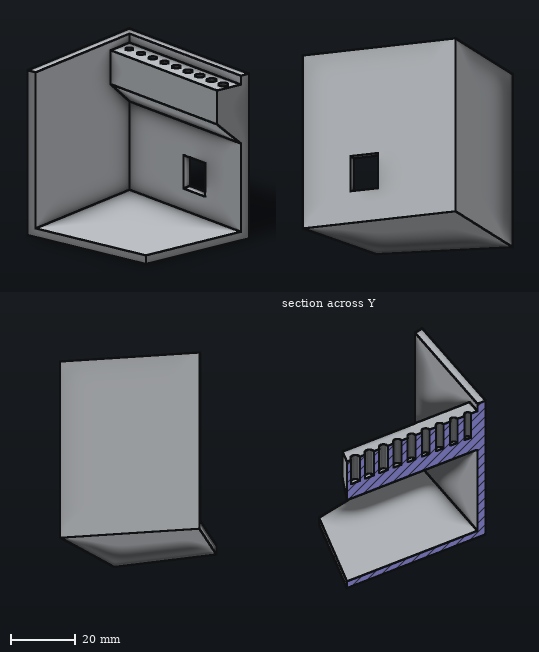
import cadquery as cq

LENGTH = 51.8
DEPTH = 46.0
HEIGHT = 56.0
WALL = 3.0

SKEW_CORNER_X = 42.55
SKEW_CORNER_Y = 9.0

RACK_DEPTH = 8.5
RACK_FACE_HEIGHT = 11.5
RACK_DROP = WALL

HOLE_DIAMETERS = [2.3, 2.4, 2.5, 2.6, 2.7, 2.8, 2.9, 3.0, 3.1]
FIRST_HOLE_X = 6.45
LAST_HOLE_X = 47.05
HOLE_PITCH = (LAST_HOLE_X - FIRST_HOLE_X) / (len(HOLE_DIAMETERS) - 1)
HOLE_FROM_BACK = 6.7
HOLE_DEPTH = 10.0

WINDOW_X = 26.3
WINDOW_Z = 10.35
WINDOW_WIDTH = 9.3
WINDOW_HEIGHT = 11.3

INNER_BACK_Y = DEPTH - WALL
RACK_FRONT_Y = INNER_BACK_Y - RACK_DEPTH
RACK_TOP_Z = HEIGHT - RACK_DROP


def plan_prism():
    """Full-height block with the four-sided plan of the part."""
    corners = [(0, 0), (SKEW_CORNER_X, SKEW_CORNER_Y), (LENGTH, DEPTH), (0, DEPTH)]
    return cq.Workplane("XY").polyline(corners).close().extrude(HEIGHT)


def inner_space():
    """Space above the floor, open to the front, the right and the top."""
    return cq.Workplane("XY").box(LENGTH, INNER_BACK_Y, HEIGHT, centered=False).translate((WALL, 0, WALL))


def rack():
    """Bar along the back wall, cut off at the right by the skewed edge of the plan."""
    face_bottom_z = RACK_TOP_Z - RACK_FACE_HEIGHT
    profile = [
        (INNER_BACK_Y, RACK_TOP_Z),
        (RACK_FRONT_Y, RACK_TOP_Z),
        (RACK_FRONT_Y, face_bottom_z),
        (INNER_BACK_Y, face_bottom_z - RACK_DEPTH),
    ]
    bar = cq.Workplane("YZ").polyline(profile).close().extrude(LENGTH)
    return bar.intersect(plan_prism())


def rack_hole(index, diameter):
    """Blind vertical hole, sunk from the top of the rack."""
    x = FIRST_HOLE_X + index * HOLE_PITCH
    plane = cq.Workplane("XY").workplane(offset=RACK_TOP_Z)
    return plane.center(x, DEPTH - HOLE_FROM_BACK).circle(diameter / 2).extrude(-HOLE_DEPTH)


def window():
    """Cutter for the window, as deep as the back wall."""
    cutter = cq.Workplane("XY").box(WINDOW_WIDTH, WALL, WINDOW_HEIGHT, centered=False)
    return cutter.translate((WINDOW_X, INNER_BACK_Y, WINDOW_Z))


result = plan_prism().cut(inner_space()).union(rack()).cut(window())
for hole_index, hole_diameter in enumerate(HOLE_DIAMETERS):
    result = result.cut(rack_hole(hole_index, hole_diameter))